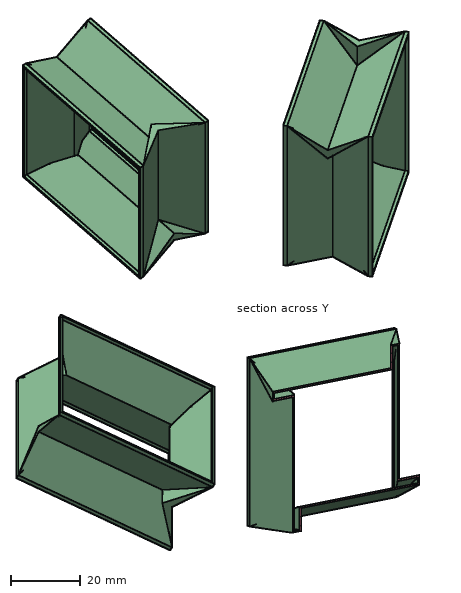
import cadquery as cq
import math

side = 51.09
depth_y = 26.4
wall = 0.6

rim_width = 1.2
fold_angle = 30
end_depth = 10

half_side = side / 2
notch_half_width = depth_y / 2 - rim_width
notch_depth = notch_half_width * math.tan(math.radians(fold_angle))


def vee(apex_depth, growth):
    """Apex depth and surface half width of a V whose flanks are moved by growth along their normals."""
    flank_slope = apex_depth / notch_half_width
    grown_depth = apex_depth + growth * math.hypot(1, flank_slope)
    return grown_depth, grown_depth / flank_slope


def top_notch(growth):
    """Notch in the +Z face: open at the -X face, closed by a V near the +X face."""
    valley_depth, half_width = vee(notch_depth, growth)
    trough = (
        cq.Workplane("YZ")
        .polyline([(-half_width, half_side), (0, half_side - valley_depth), (half_width, half_side)])
        .close()
        .extrude(half_side, both=True)
    )

    tip_depth, tip_half_width = vee(end_depth, -growth)
    closed_end = (
        cq.Workplane("XY")
        .polyline([
            (half_side, -tip_half_width),
            (half_side - tip_depth, 0),
            (half_side, tip_half_width),
        ])
        .close()
        .extrude(half_side)
    )
    return trough.cut(closed_end)


def cut_notches(block, growth):
    """Cut the same notch into all four faces, turned in quarter turns about Y."""
    for quarter in range(4):
        notch = top_notch(growth).rotate((0, 0, 0), (0, 1, 0), 90 * quarter)
        block = block.cut(notch)
    return block


def frame_block(width):
    return cq.Workplane("XY").box(width, depth_y, width)


outer_body = cut_notches(frame_block(side), 0)
cavity = cut_notches(frame_block(side - 2 * wall), wall)

result = outer_body.cut(cavity)